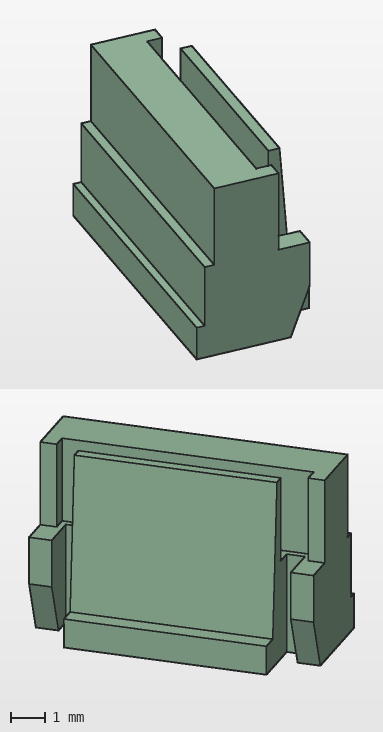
import cadquery as cq

width = 8.75
depth = 4.15
height = 5.7

sill_height = 1.085
shoulder_height = 3.09
middle_front = 0.25
upper_front = 0.56

lower_wall_back = 2.345
upper_wall_back = 2.13
upper_end_back = 2.61
upper_end_width = 0.51
cheek_width = 0.7
cheek_back = 3.605
cheek_bottom_back = 3.0
cheek_taper_height = 1.62

latch_width = 6.23
lever_front = 2.85
lever_top_back = 3.21
lever_base_back = 3.59
foot_height = 0.9
bridge_width = 0.79


def extrude_profile(points, length, center_x=0.0):
    """Extrude a closed Y-Z outline along X, centred on center_x."""
    profile = cq.Workplane("YZ").polyline(points).close()
    return profile.extrude(length / 2, both=True).translate((center_x, 0, 0))


def block(x_size, y_start, y_end, z_start, z_end):
    """Make a rectangular block centred on X = 0."""
    box = cq.Workplane("XY").box(x_size, y_end - y_start, z_end - z_start, centered=(True, False, False))
    return box.translate((0, y_start, z_start))


def make_housing():
    """Stepped body with its back hollowed between the cheeks."""
    body = extrude_profile(
        [
            (0, 0),
            (0, sill_height),
            (middle_front, sill_height),
            (middle_front, shoulder_height),
            (upper_front, shoulder_height),
            (upper_front, height),
            (upper_end_back, height),
            (upper_end_back, shoulder_height),
            (cheek_back, shoulder_height),
            (cheek_back, cheek_taper_height),
            (cheek_bottom_back, 0),
        ],
        width,
    )
    lower_recess = block(width - 2 * cheek_width, lower_wall_back, depth, 0, shoulder_height)
    upper_recess = block(width - 2 * upper_end_width, upper_wall_back, depth, shoulder_height, height)
    return body.cut(lower_recess).cut(upper_recess)


def make_latch():
    """Lever tapering towards its top, standing on a wider foot."""
    return extrude_profile(
        [
            (lever_front, 0),
            (lever_front, height),
            (lever_top_back, height),
            (lever_base_back, foot_height),
            (depth, foot_height),
            (depth, 0),
        ],
        latch_width,
    )


def make_bridges():
    """Two bridges up to the shoulder, flush with the latch ends, joining it to the wall."""
    full_bridge = block(latch_width, lower_wall_back, lever_front, 0, shoulder_height)
    window = block(latch_width - 2 * bridge_width, lower_wall_back, lever_front, 0, shoulder_height)
    return full_bridge.cut(window)


result = make_housing().union(make_bridges()).union(make_latch())